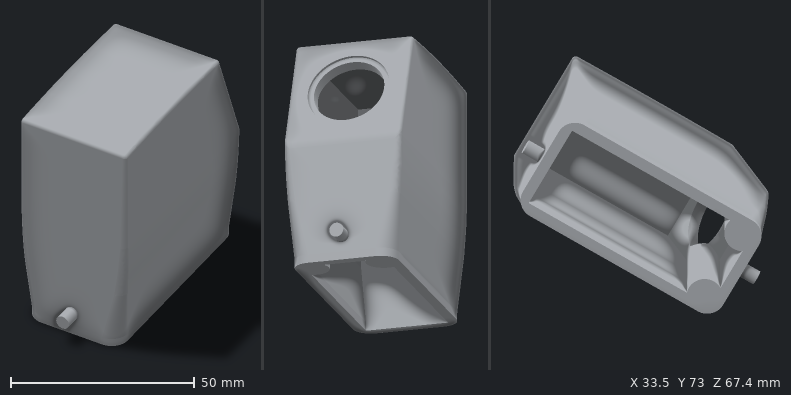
import cadquery as cq
import math

height = 67.4
half_length_base = 31.6
end_draft = 0.0118
half_width_top = 16.75
flare_angle = math.radians(4.75)

rim_z = 2.4
flare_end_z = 18.2
shoulder_z = 34.8

rim_corner = 5.1
flare_corner = 2.7
shoulder_corner = 1.6
top_corner = 1.0

roof_edge_z = 66.6
slope_angle = math.radians(20.0)
slope_start_z = 34.8
edge_round = 1.0
bend_radius = 7.5
trim_margin = 5.0

wall = 3.0
slope_wall = 4.0
roof_wall = 3.0

entry_y = 25.35
bore_radius = 10.0
spotface_radius = 11.6
spotface_depth = 0.7
bore_depth = 12.0

pillar_radius = 5.0
pillar_x = 10.3
pillar_y = 26.1

peg_radius = 2.0
peg_z = 7.0
peg_tip_y = 36.5

blend_radius = (shoulder_z - flare_end_z) / math.sin(flare_angle)
blend_stations = 5
half_width_flare = half_width_top - blend_radius * (1 - math.cos(flare_angle))
half_width_rim = half_width_flare - (flare_end_z - rim_z) * math.tan(flare_angle)


def end_y(z):
    """Half length of the hood; the end faces draft inward above the rim."""
    return half_length_base - end_draft * max(z - rim_z, 0)


def slope_y(z):
    """Position of the sloping face at a height."""
    return end_y(slope_start_z) - (z - slope_start_z) * math.tan(slope_angle)


def blend_section(fraction):
    """Height, half width and corner radius part way up the side blend."""
    z = flare_end_z + fraction * (shoulder_z - flare_end_z)
    half_width = half_width_top - blend_radius + math.sqrt(blend_radius**2 - (shoulder_z - z) ** 2)
    corner = flare_corner + fraction * (shoulder_corner - flare_corner)
    return z, half_width, corner


def section_wire(z, half_width, corner):
    """Closed rounded-rectangle outline across the hood at a height."""
    plate = cq.Workplane("XY", origin=(0, 0, z)).rect(2 * half_width, 2 * end_y(z)).extrude(1)
    return plate.edges("|Z").fillet(corner).faces("<Z").val().outerWire()


def loft(sections, ruled):
    """Solid through a list of (height, half width, corner radius) sections."""
    wires = [section_wire(*section) for section in sections]
    return cq.Workplane(cq.Solid.makeLoft(wires, ruled))


def make_blank():
    """Full outside with its rounded corners, still without roof or sloping face."""
    rim_section = (rim_z, half_width_rim, rim_corner)
    blend = [blend_section(i / (blend_stations - 1)) for i in range(blend_stations)]
    top_section = (height + trim_margin, half_width_top, top_corner)
    rim = cq.Workplane("XY").rect(2 * half_width_rim, 2 * half_length_base).extrude(rim_z)
    rim = rim.edges("|Z").fillet(rim_corner)
    flare = loft([rim_section, blend[0]], ruled=True)
    shoulder = loft(blend, ruled=False)
    upper = loft([blend[-1], top_section], ruled=True)
    return rim.union(flare).union(shoulder).union(upper)


def make_trim():
    """Side outline of the arched roof and sloping face, oversize elsewhere."""
    front_y = -end_y(roof_edge_z)
    ridge_y = slope_y(roof_edge_z)
    outer_y = half_length_base + trim_margin
    draft_angle = math.atan(end_draft)
    tangent_length = bend_radius * math.tan((slope_angle - draft_angle) / 2)
    bend_top_z = slope_start_z + tangent_length * math.cos(slope_angle)
    bend_low_z = slope_start_z - tangent_length * math.cos(draft_angle)
    center_y = end_y(bend_low_z) - bend_radius * math.cos(draft_angle)
    center_z = bend_low_z - bend_radius * math.sin(draft_angle)
    middle_angle = (slope_angle + draft_angle) / 2
    bend_middle = (
        center_y + bend_radius * math.cos(middle_angle),
        center_z + bend_radius * math.sin(middle_angle),
    )
    return (
        cq.Workplane("YZ")
        .moveTo(-outer_y, 0)
        .lineTo(-outer_y, roof_edge_z)
        .lineTo(front_y, roof_edge_z)
        .threePointArc(((front_y + ridge_y) / 2, height), (ridge_y, roof_edge_z))
        .lineTo(slope_y(bend_top_z), bend_top_z)
        .threePointArc(bend_middle, (end_y(bend_low_z), bend_low_z))
        .lineTo(outer_y, bend_low_z)
        .lineTo(outer_y, 0)
        .close()
        .extrude(half_width_top + trim_margin, both=True)
    )


def make_outside():
    """Trimmed blank with the roof and sloping face rounded at their edges."""
    outside = make_blank().intersect(make_trim())
    slope_normal = cq.Vector(0, math.cos(slope_angle), math.sin(slope_angle))
    roof = outside.faces(">Z")
    sloping_face = outside.faces(cq.DirectionMinMaxSelector(slope_normal))
    edges = roof.edges().add(sloping_face.edges("not |X"))
    return edges.fillet(edge_round)


def make_cavity():
    """Inner space open at the bottom, following the walls of the hood."""
    side = (
        cq.Workplane("XZ")
        .moveTo(half_width_rim - wall, 0)
        .lineTo(half_width_rim - wall, rim_z)
        .lineTo(half_width_flare - wall, flare_end_z)
        .lineTo(half_width_top - wall, shoulder_z)
        .lineTo(half_width_top - wall, height)
        .lineTo(0, height)
        .lineTo(0, 0)
        .close()
        .extrude(half_length_base, both=True)
    )
    side = side.union(side.mirror("YZ"))
    cavity_top = roof_edge_z - roof_wall
    slope_inset = slope_wall / math.cos(slope_angle)
    bend_z = slope_start_z - (slope_inset - wall) / math.tan(slope_angle)
    lengthwise = (
        cq.Workplane("YZ")
        .moveTo(wall - half_length_base, 0)
        .lineTo(wall - end_y(cavity_top), cavity_top)
        .lineTo(slope_y(cavity_top) - slope_inset, cavity_top)
        .lineTo(slope_y(bend_z) - slope_inset, bend_z)
        .lineTo(half_length_base - wall, 0)
        .close()
        .extrude(half_width_top, both=True)
    )
    pillars = (
        cq.Workplane("XY")
        .pushPoints([(-pillar_x, pillar_y), (pillar_x, pillar_y)])
        .circle(pillar_radius)
        .extrude(height)
    )
    return side.intersect(lengthwise).cut(pillars)


def make_cable_entry():
    """Bore with a shallow spotface, square to the sloping face."""
    entry_z = slope_start_z + (end_y(slope_start_z) - entry_y) / math.tan(slope_angle)
    inward = cq.Vector(0, -math.cos(slope_angle), -math.sin(slope_angle))
    center = cq.Vector(0, entry_y, entry_z)
    bore = cq.Solid.makeCylinder(bore_radius, bore_depth, center, inward)
    spotface = cq.Solid.makeCylinder(spotface_radius, spotface_depth, center, inward)
    return cq.Workplane(bore).union(cq.Workplane(spotface))


def make_peg(side):
    """Peg starting inside the end wall and reaching outward; side is -1 or 1 along Y."""
    root_y = half_length_base - wall
    start = cq.Vector(0, side * root_y, peg_z)
    outward = cq.Vector(0, side, 0)
    return cq.Workplane(cq.Solid.makeCylinder(peg_radius, peg_tip_y - root_y, start, outward))


peg = make_peg(-1)

hood = make_outside().cut(make_cavity()).cut(make_cable_entry())
hood = hood.union(make_peg(1)).cut(peg)

result = cq.Compound.makeCompound([hood.val(), peg.val()])